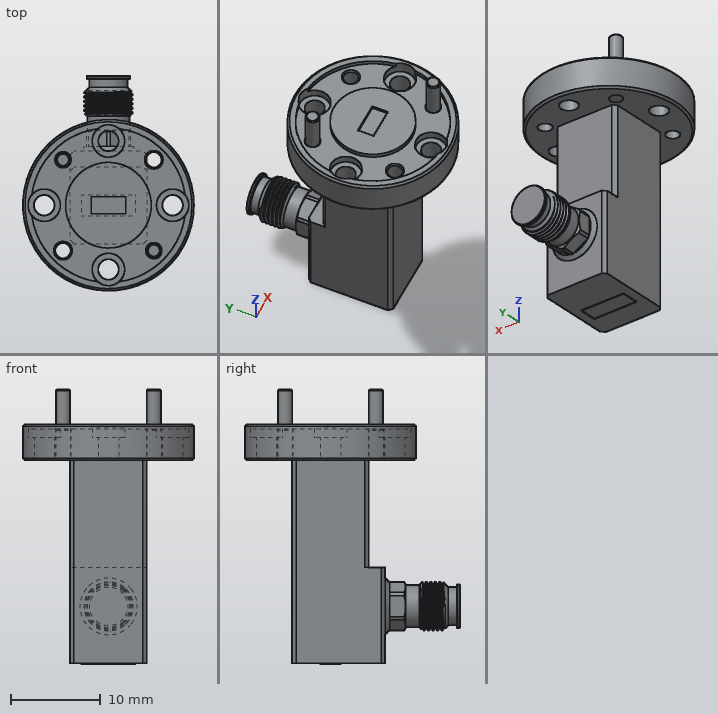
import cadquery as cq
import math

FLANGE_DIAMETER = 19.05
FLANGE_THICKNESS = 4.05
FLANGE_CHAMFER = 0.25
RIM_INNER_DIAMETER = 17.2
FACE_RECESS_DEPTH = 0.5
BOSS_DIAMETER = 9.53
WAVEGUIDE_WIDTH = 3.8
WAVEGUIDE_HEIGHT = 1.9
WAVEGUIDE_DEPTH = 0.3

HOLE_CIRCLE_RADIUS = 7.14
SCREW_HOLE_DIAMETER = 2.26
SCREW_COUNTERBORE_DIAMETER = 3.6
SCREW_COUNTERBORE_DEPTH = 1.45
SCREW_HOLE_ANGLES = (0, 90, 180, 270)
DOWEL_HOLE_DIAMETER = 1.7
DOWEL_HOLE_MOUTH_DIAMETER = 2.05
DOWEL_HOLE_ANGLES = (45, 225)

PIN_DIAMETER = 1.6
PIN_MOUTH_DIAMETER = 1.8
PIN_TOP = 3.87
PIN_CHAMFER = 0.15
PIN_ANGLES = (135, 315)

BLOCK_WIDTH = 8.56
BLOCK_BOTTOM = -26.62
BLOCK_CHAMFER = 0.45
STEP_Y = 6.08
STEP_TOP = -15.93
PAD_WIDTH = 6.0
PAD_LENGTH = 2.3
PAD_HEIGHT = 0.08

CONNECTOR_Z = -20.25
TIP_Y = 14.415
COLLAR_RADIUS = 2.43
COLLAR_LENGTH = 0.4
COLLAR_CHAMFER = 0.08
NECK_RADIUS = 2.14
NECK_END_Y = 13.1
THREAD_ROOT_RADIUS = 2.48
THREAD_CREST_RADIUS = 2.73
THREAD_PITCH = 0.5
THREAD_TURNS = 6
THREAD_START_Y = 9.88
THREAD_HELIX_START_Y = 9.78
SHANK_RADIUS = 2.37
HEX_END_Y = 8.39
HEX_START_Y = 6.57
HEX_ACROSS_FLATS = 4.9
HEX_ACROSS_CORNERS = 5.43
HEX_CHAMFER_LENGTH = 0.2
STUB_SMALL_RADIUS = 2.68
STUB_LARGE_RADIUS = 3.175
STUB_START_Y = 4.0

RIDGE_BASE_SHARE = 0.9
RIDGE_CREST_SHARE = 0.15
RIDGE_OVERLAP = 0.05

FLANGE_RADIUS = FLANGE_DIAMETER / 2
HALF_BLOCK = BLOCK_WIDTH / 2
COLLAR_START_Y = TIP_Y - COLLAR_LENGTH
HEX_FLAT_LENGTH = 2 * HEX_ACROSS_CORNERS - math.sqrt(3) * HEX_ACROSS_FLATS


def at_angles(angles):
    """Points on the hole circle at the given angles in degrees."""
    return [
        (
            HOLE_CIRCLE_RADIUS * math.cos(math.radians(angle)),
            HOLE_CIRCLE_RADIUS * math.sin(math.radians(angle)),
        )
        for angle in angles
    ]


def through_holes(angles, diameter):
    return (
        cq.Workplane("XY")
        .pushPoints(at_angles(angles))
        .circle(diameter / 2)
        .extrude(-FLANGE_THICKNESS)
    )


def countersinks(angles, mouth_diameter, hole_diameter):
    """45 degree cones that open the holes at the recessed flange face."""
    depth = (mouth_diameter - hole_diameter) / 2
    cone = cq.Solid.makeCone(
        hole_diameter / 2,
        mouth_diameter / 2,
        depth,
        pnt=cq.Vector(0, 0, -FACE_RECESS_DEPTH - depth),
    )
    return cq.Workplane("XY").pushPoints(at_angles(angles)).eachpoint(lambda place: cone.moved(place))


def make_flange():
    disc = (
        cq.Workplane("XY")
        .circle(FLANGE_RADIUS)
        .extrude(-FLANGE_THICKNESS)
        .edges()
        .chamfer(FLANGE_CHAMFER)
    )
    face_recess = (
        cq.Workplane("XY")
        .circle(RIM_INNER_DIAMETER / 2)
        .circle(BOSS_DIAMETER / 2)
        .extrude(-FACE_RECESS_DEPTH)
    )
    counterbores = (
        cq.Workplane("XY")
        .pushPoints(at_angles(SCREW_HOLE_ANGLES))
        .circle(SCREW_COUNTERBORE_DIAMETER / 2)
        .extrude(-SCREW_COUNTERBORE_DEPTH)
    )
    waveguide = cq.Workplane("XY").rect(WAVEGUIDE_WIDTH, WAVEGUIDE_HEIGHT).extrude(-WAVEGUIDE_DEPTH)
    return (
        disc.cut(face_recess)
        .cut(counterbores)
        .cut(waveguide)
        .cut(through_holes(SCREW_HOLE_ANGLES, SCREW_HOLE_DIAMETER))
        .cut(through_holes(DOWEL_HOLE_ANGLES, DOWEL_HOLE_DIAMETER))
        .cut(countersinks(DOWEL_HOLE_ANGLES, DOWEL_HOLE_MOUTH_DIAMETER, DOWEL_HOLE_DIAMETER))
        .cut(through_holes(PIN_ANGLES, PIN_DIAMETER))
        .cut(countersinks(PIN_ANGLES, PIN_MOUTH_DIAMETER, PIN_DIAMETER))
    )


def chamfered_column(back_y, top_z):
    """Column with chamfered upright edges, from the front face to back_y."""
    return (
        cq.Workplane("XY")
        .workplane(offset=BLOCK_BOTTOM)
        .center(0, (back_y - HALF_BLOCK) / 2)
        .rect(BLOCK_WIDTH, back_y + HALF_BLOCK)
        .extrude(top_z - BLOCK_BOTTOM)
        .edges("|Z")
        .chamfer(BLOCK_CHAMFER)
    )


def make_block():
    column = chamfered_column(HALF_BLOCK, -FLANGE_THICKNESS)
    step = chamfered_column(STEP_Y, STEP_TOP)
    pad = (
        cq.Workplane("XY")
        .workplane(offset=BLOCK_BOTTOM)
        .rect(PAD_WIDTH, PAD_LENGTH)
        .extrude(-PAD_HEIGHT)
    )
    return column.union(step).union(pad)


def revolved(profile):
    """Solid turned about the Y axis from (radius, y) points."""
    return cq.Workplane("XY").polyline(profile).close().revolve(360, (0, 0, 0), (0, 1, 0))


def cylinder(radius, start_y, end_y):
    return cq.Workplane("XZ").workplane(offset=-start_y).circle(radius).extrude(start_y - end_y)


def helical_ridge(root_radius, crest_radius, pitch, start_y, turns):
    """Right-hand ridge around the Y axis, sunk slightly below the root radius."""
    base_radius = root_radius - RIDGE_OVERLAP
    half_base = RIDGE_BASE_SHARE * pitch / 2
    half_crest = RIDGE_CREST_SHARE * pitch / 2
    helix = cq.Wire.makeHelix(pitch, turns * pitch, base_radius)
    ridge = (
        cq.Workplane("XZ")
        .polyline(
            [
                (base_radius, -half_base),
                (crest_radius, -half_crest),
                (crest_radius, half_crest),
                (base_radius, half_base),
            ]
        )
        .close()
        .sweep(cq.Workplane(obj=helix), isFrenet=True)
    )
    return ridge.rotate((0, 0, 0), (1, 0, 0), -90).translate((0, start_y, 0))


def make_hex():
    """Hexagon with flats facing X and cut-off corners, chamfered on its outer end."""
    length = HEX_END_Y - HEX_START_Y
    corner_radius = math.hypot(HEX_ACROSS_FLATS / 2, HEX_FLAT_LENGTH / 2)
    flats = cq.Workplane("XZ").polygon(6, HEX_ACROSS_FLATS, circumscribed=True).extrude(-length)
    corners = cq.Workplane("XZ").polygon(6, HEX_ACROSS_CORNERS, circumscribed=True).extrude(-length)
    corners = corners.rotate((0, 0, 0), (0, 1, 0), 30)
    prism = flats.intersect(corners).translate((0, HEX_START_Y, 0))
    envelope = revolved(
        [
            (0, HEX_START_Y),
            (corner_radius, HEX_START_Y),
            (corner_radius, HEX_END_Y - HEX_CHAMFER_LENGTH),
            (SHANK_RADIUS, HEX_END_Y),
            (0, HEX_END_Y),
        ]
    )
    return prism.intersect(envelope)


def make_coupling_thread():
    """Threaded barrel whose ends taper at 45 degrees down to the shank and the neck."""
    ridge = helical_ridge(
        THREAD_ROOT_RADIUS, THREAD_CREST_RADIUS, THREAD_PITCH, THREAD_HELIX_START_Y, THREAD_TURNS
    )
    core = cylinder(THREAD_ROOT_RADIUS, THREAD_START_Y, NECK_END_Y)
    envelope = revolved(
        [
            (0, THREAD_START_Y),
            (SHANK_RADIUS, THREAD_START_Y),
            (THREAD_CREST_RADIUS, THREAD_START_Y + THREAD_CREST_RADIUS - SHANK_RADIUS),
            (THREAD_CREST_RADIUS, NECK_END_Y - (THREAD_CREST_RADIUS - NECK_RADIUS)),
            (NECK_RADIUS, NECK_END_Y),
            (0, NECK_END_Y),
        ]
    )
    return core.union(ridge).intersect(envelope)


def make_mounting_stub():
    """Stub that runs into the block and tapers at 45 degrees toward the hexagon."""
    return revolved(
        [
            (0, STUB_START_Y),
            (STUB_LARGE_RADIUS, STUB_START_Y),
            (STUB_LARGE_RADIUS, HEX_START_Y - (STUB_LARGE_RADIUS - STUB_SMALL_RADIUS)),
            (STUB_SMALL_RADIUS, HEX_START_Y),
            (0, HEX_START_Y),
        ]
    )


def make_collar():
    return cylinder(COLLAR_RADIUS, COLLAR_START_Y, TIP_Y).edges().chamfer(COLLAR_CHAMFER)


def make_connector():
    return (
        make_mounting_stub()
        .union(make_hex())
        .union(cylinder(SHANK_RADIUS, HEX_END_Y, THREAD_START_Y))
        .union(make_coupling_thread())
        .union(cylinder(NECK_RADIUS, NECK_END_Y, COLLAR_START_Y))
        .union(make_collar())
        .translate((0, 0, CONNECTOR_Z))
    )


def make_pin(x, y):
    return (
        cq.Workplane("XY")
        .workplane(offset=-FLANGE_THICKNESS)
        .center(x, y)
        .circle(PIN_DIAMETER / 2)
        .extrude(PIN_TOP + FLANGE_THICKNESS)
        .faces(">Z")
        .chamfer(PIN_CHAMFER)
    )


housing = make_flange().union(make_block()).union(make_connector())
pins = [make_pin(x, y) for x, y in at_angles(PIN_ANGLES)]

result = cq.Compound.makeCompound([housing.val(), *[pin.val() for pin in pins]])